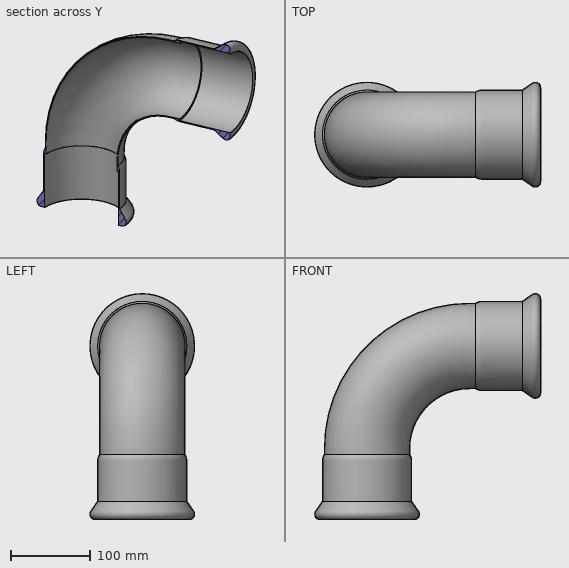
import cadquery as cq
import math

OVERALL = 285.83
BEAD_RADIUS = 132.47 / 2
WALL = 2.0
TUBE_RADIUS = 108.0 / 2
TUBE_BORE_RADIUS = TUBE_RADIUS - WALL

SOCKET_RADIUS = 112.8 / 2
SOCKET_BORE_RADIUS = SOCKET_RADIUS - WALL

BEAD_TOP = 10.2
FLARE_TOP = 23.3
SHOULDER_START = 74.7
SHOULDER_END = 82.3
LEG_LENGTH = 90.0

BEAD_ROUND = 7.0
BEAD_CENTRE_RADIUS = BEAD_RADIUS - BEAD_ROUND
BEAD_TOP_RADIUS = BEAD_CENTRE_RADIUS + math.sqrt(BEAD_ROUND**2 - (BEAD_TOP - BEAD_ROUND) ** 2)

CENTRE_TO_END = OVERALL - BEAD_RADIUS
BEND_RADIUS = CENTRE_TO_END - LEG_LENGTH
BEND_ANGLE = 90


def bend(radius):
    """Solid quarter ring joining the two legs."""
    return (
        cq.Workplane("XY", origin=(0, 0, -BEND_RADIUS))
        .circle(radius)
        .revolve(BEND_ANGLE, (BEND_RADIUS, 0), (BEND_RADIUS, 1))
    )


def leg_body():
    """Solid leg standing on its open end: bead, flare, socket, rounded shoulder and tube."""
    return (
        cq.Workplane("XZ")
        .lineTo(BEAD_CENTRE_RADIUS, 0)
        .threePointArc((BEAD_RADIUS, BEAD_ROUND), (BEAD_TOP_RADIUS, BEAD_TOP))
        .lineTo(SOCKET_RADIUS, FLARE_TOP)
        .lineTo(SOCKET_RADIUS, SHOULDER_START)
        .tangentArcPoint((TUBE_RADIUS, SHOULDER_END), relative=False)
        .lineTo(TUBE_RADIUS, LEG_LENGTH)
        .lineTo(0, LEG_LENGTH)
        .close()
        .revolve(360, (0, 0), (0, 1))
    )


def leg_bore():
    """Void inside a leg: the socket bore, then the tube bore."""
    socket_bore = cq.Workplane("XY").circle(SOCKET_BORE_RADIUS).extrude(SHOULDER_START)
    tube_bore = cq.Workplane("XY").circle(TUBE_BORE_RADIUS).extrude(LEG_LENGTH)
    return socket_bore.union(tube_bore)


def at_bottom(leg):
    """Place a leg with its open end facing -Z."""
    return leg.translate((0, 0, -CENTRE_TO_END))


def at_side(leg):
    """Place a leg with its open end facing +X."""
    return leg.rotate((0, 0, 0), (0, 1, 0), -90).translate((CENTRE_TO_END, 0, 0))


leg = leg_body().cut(leg_bore())
elbow = bend(TUBE_RADIUS).cut(bend(TUBE_BORE_RADIUS))

result = elbow.union(at_bottom(leg)).union(at_side(leg))